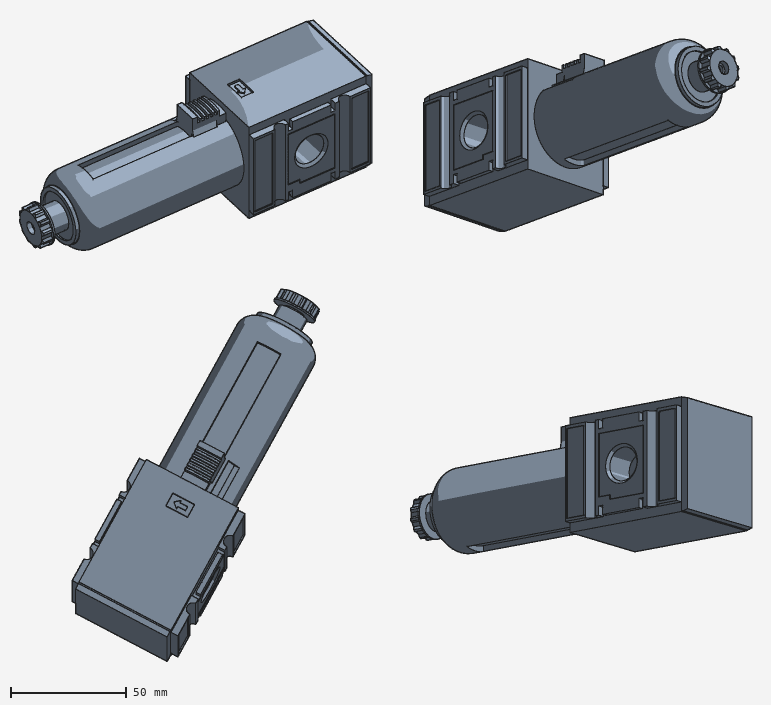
import cadquery as cq
import math


housing_half_width = 22.6
housing_length = 61.7
edge_height = 25.6
crown_height = 27.0
front_bevel_length = 6.5
rear_bevel_length = 5.7
cap_length = 3.3
total_rear = housing_length + cap_length
cap_inset = 0.2
seam_width = 0.7
seam_depth = 0.3

plate_half_width = 52.0 / 2
plate_half_height = 21.3
plate_setback = 0.2
flute_radius = 5.4 / 2
flute_positions = (14.1, 48.0)
panel_depth = 0.7
panel_corner = 0.7
panel_half_height = 20.0
panel_spans = ((0.8, 10.3), (51.8, 60.8))
port_y = 30.8
port_diameter = 15.0
port_mouth_diameter = 17.5
port_depth = 14.8
port_panel_length = 24.5
port_panel_half_height = 15.1
port_panel_depth = 0.5
port_panel_step = (6.0, 2.0)
clip_notch_height = 4.1
clip_tab_thickness = 2.3
clip_tab_length = 20.2

mark_width = 10.7
mark_length = 6.4
mark_y = 11.2
mark_floor = 25.9
arrow_length = 6.2
arrow_head_length = 2.5
arrow_half_width = 2.1
arrow_stem_half_width = 1.0
arrow_height = 0.7

bowl_radius = 37.7 / 2
bowl_round = 7.7
bowl_round_start = -75.6
bowl_end = -82.8
end_ring_radius = 27.0 / 2
end_ring_end = -84.6
end_recess_radius = 23 / 2
end_recess_depth = 0.8
stub_radius = 6.9
stub_end = -92.2
neck_radius = 9.7 / 2
window_width = 11.5
window_floor_radius = 16.4
window_end = -70.2
window_corner = 0.8
bottom_window_start = -5.1
pocket_inner_x = -8.0
pocket_floor_radius = 17.2
pocket_bottom_z = 13.3

knob_radius = 20.0 / 2
knob_flange_start = -93.2
knob_flange_end = -94.0
grip_radius = 9.7
knob_end = -99.0
knob_chamfer_length = 0.5
knob_chamfer_height = 1.3
grip_slot_count = 12
grip_slot_floor_width = 2.0
grip_slot_mouth_width = 4.3
grip_slot_floor = 8.4
knob_bore_diameter = 4.0
knob_bore_depth = 4.1
knob_counterbore_diameter = 5.9
knob_counterbore_depth = 2.5

lever_half_width = 12.0 / 2
lever_start = -0.5
lever_end = -18.0
lever_top = 27.4
lever_root_radius = 16.9
lever_stem_radius = 23.3
grip_start = -4.0
tooth_count = 5
tooth_pitch = 2.3
tooth_width = 1.1
tooth_tip_radius = 26.4
tooth_root_radius = 24.8
foot_start = -5.5
foot_half_width = 13.6 / 2
foot_top = 20.7
foot_bottom = 16.9


def box(x0, x1, y0, y1, z0, z1):
    """Box given by its limits along each axis."""
    return cq.Workplane("XY").box(x1 - x0, y1 - y0, z1 - z0, centered=False).translate((x0, y0, z0))


def disc(radius, y0, y1):
    """Cylinder about the Y axis between two Y positions."""
    return cq.Workplane("XZ", origin=(0, y1, 0)).circle(radius).extrude(y1 - y0)


def both_sides(shape):
    """The shape together with its mirror image across X = 0."""
    return shape.union(shape.mirror("YZ"))


def housing_core():
    """Block with domed top and bottom, bevelled towards the front and rear."""
    domed = (
        cq.Workplane("XZ", origin=(0, total_rear, 0))
        .moveTo(-housing_half_width, -edge_height)
        .threePointArc((0, -crown_height), (housing_half_width, -edge_height))
        .lineTo(housing_half_width, edge_height)
        .threePointArc((0, crown_height), (-housing_half_width, edge_height))
        .close()
        .extrude(total_rear)
    )
    rise = crown_height - edge_height
    rear_height = edge_height - rise * cap_length / rear_bevel_length
    upper = [
        (0, edge_height),
        (front_bevel_length, crown_height),
        (housing_length - rear_bevel_length, crown_height),
        (total_rear, rear_height),
    ]
    lower = [(y, -z) for y, z in reversed(upper)]
    bevelled = (
        cq.Workplane("YZ").polyline(upper + lower).close().extrude(housing_half_width, both=True)
    )
    core = domed.intersect(bevelled)
    for side in (1, -1):
        seam_outer = side * crown_height
        seam_inner = side * (edge_height - seam_depth)
        core = core.cut(box(
            -housing_half_width, housing_half_width,
            housing_length, housing_length + seam_width,
            min(seam_outer, seam_inner), max(seam_outer, seam_inner),
        ))
    cap_side = box(
        housing_half_width - cap_inset, housing_half_width,
        housing_length, total_rear, -crown_height, crown_height,
    )
    return core.cut(both_sides(cap_side))


def side_plate():
    """Mounting plate on the +X side with flutes, framed panels and clip notches."""
    plate = box(
        housing_half_width, plate_half_width,
        plate_setback, housing_length, -plate_half_height, plate_half_height,
    )
    for y in flute_positions:
        flute = cq.Workplane("XY").center(plate_half_width, y).circle(flute_radius)
        plate = plate.cut(flute.extrude(plate_half_height, both=True))
    panel_bottom_x = plate_half_width - panel_depth
    for y0, y1 in panel_spans:
        panel = box(
            panel_bottom_x, plate_half_width, y0, y1, -panel_half_height, panel_half_height
        ).edges("|X and >Z").fillet(panel_corner)
        plate = plate.cut(panel)
    return plate.cut(clip_notch()).cut(clip_notch().mirror("XY"))


def clip_notch():
    """Notch in the upper edge of the plate around a thin standing tab."""
    notch_bottom = plate_half_height - clip_notch_height
    notch = box(
        housing_half_width, plate_half_width,
        port_y - port_panel_length / 2, port_y + port_panel_length / 2,
        notch_bottom, plate_half_height,
    )
    tab = box(
        plate_half_width - clip_tab_thickness, plate_half_width,
        port_y - clip_tab_length / 2, port_y + clip_tab_length / 2,
        notch_bottom, plate_half_height,
    )
    return notch.cut(tab)


def port_cut():
    """Stepped shallow panel, and the blind port with its countersunk mouth, on the +X side."""
    front = port_y - port_panel_length / 2
    rear = port_y + port_panel_length / 2
    step_length, step_height = port_panel_step
    seat_x = plate_half_width - port_panel_depth
    panel = box(
        seat_x, plate_half_width, front, rear, -port_panel_half_height, port_panel_half_height
    ).cut(box(
        seat_x, plate_half_width, front, front + step_length,
        -port_panel_half_height, step_height - port_panel_half_height,
    ))
    mouth_depth = (port_mouth_diameter - port_diameter) / 2
    profile = [
        (seat_x - port_depth, 0),
        (seat_x - port_depth, port_diameter / 2),
        (seat_x - mouth_depth, port_diameter / 2),
        (seat_x, port_mouth_diameter / 2),
        (seat_x, 0),
    ]
    port = cq.Workplane("XY").polyline(profile).close().revolve(360, (0, 0, 0), (1, 0, 0))
    return panel.union(port.translate((0, port_y, 0)))


def flow_mark():
    """Rectangular pocket in the top face with a raised arrow pointing to +X."""
    pocket = box(
        -mark_width / 2, mark_width / 2, mark_y - mark_length / 2, mark_y + mark_length / 2,
        mark_floor, crown_height,
    )
    tip = arrow_length / 2
    neck = tip - arrow_head_length
    arrow = cq.Workplane("XY", origin=(0, mark_y, mark_floor)).polyline([
        (-tip, -arrow_stem_half_width),
        (neck, -arrow_stem_half_width),
        (neck, -arrow_half_width),
        (tip, 0),
        (neck, arrow_half_width),
        (neck, arrow_stem_half_width),
        (-tip, arrow_stem_half_width),
    ]).close().extrude(arrow_height)
    return pocket.cut(arrow)


def make_housing():
    """Housing with both side plates, both ports and the flow mark."""
    body = housing_core().union(both_sides(side_plate()))
    return body.cut(port_cut()).cut(port_cut().mirror("YZ")).cut(flow_mark())


def bowl_shell():
    """Turned bowl with its recessed end ring, drain stub and neck."""
    round_angle = math.asin((bowl_round_start - bowl_end) / bowl_round)

    def round_point(angle):
        """Point on the rounded shoulder at an angle from its start."""
        return (
            bowl_radius - bowl_round * (1 - math.cos(angle)),
            bowl_round_start - bowl_round * math.sin(angle),
        )

    barrel = (
        cq.Workplane("XY")
        .lineTo(bowl_radius, 0)
        .lineTo(bowl_radius, bowl_round_start)
        .threePointArc(round_point(round_angle / 2), round_point(round_angle))
        .lineTo(0, bowl_end)
        .close()
        .revolve(360, (0, 0, 0), (0, 1, 0))
    )
    ring = disc(end_ring_radius, end_ring_end, bowl_end)
    recess = disc(end_recess_radius, end_ring_end, end_ring_end + end_recess_depth)
    stub = disc(stub_radius, stub_end, bowl_end)
    neck = disc(neck_radius, knob_flange_start, stub_end)
    return barrel.union(ring).cut(recess).union(stub).union(neck)


def window(start):
    """Shallow curved window in the top of the bowl, from the given Y to the common end."""
    length = start - window_end
    outline = (
        cq.Workplane("XY", origin=(0, (start + window_end) / 2, 0))
        .rect(window_width, length)
        .extrude(bowl_radius)
        .edges("|Z and >Y")
        .fillet(window_corner)
    )
    return outline.cut(disc(window_floor_radius, window_end, start))


def key_pocket():
    """Curved pocket beside the lever, open towards the housing."""
    block = box(-bowl_radius, pocket_inner_x, lever_end, 0, pocket_bottom_z, bowl_radius)
    return block.cut(disc(pocket_floor_radius, lever_end, 0))


def drain_knob():
    """Flanged knob with grip slots and a counterbored end."""
    chamfer_start = knob_end + knob_chamfer_length
    knob = cq.Workplane("XY").polyline([
        (0, knob_flange_end),
        (grip_radius, knob_flange_end),
        (grip_radius, chamfer_start),
        (grip_radius - knob_chamfer_height, knob_end),
        (0, knob_end),
    ]).close().revolve(360, (0, 0, 0), (0, 1, 0))
    slot = cq.Workplane("XZ", origin=(0, knob_flange_end, 0)).polyline([
        (-grip_slot_floor_width / 2, grip_slot_floor),
        (grip_slot_floor_width / 2, grip_slot_floor),
        (grip_slot_mouth_width / 2, grip_radius),
        (-grip_slot_mouth_width / 2, grip_radius),
    ]).close().extrude(knob_flange_end - knob_end)
    for index in range(grip_slot_count):
        knob = knob.cut(slot.rotate((0, 0, 0), (0, 1, 0), index * 360 / grip_slot_count))
    knob = knob.union(disc(knob_radius, knob_flange_end, knob_flange_start))
    knob = knob.cut(disc(knob_bore_diameter / 2, knob_end, knob_end + knob_bore_depth))
    return knob.cut(disc(knob_counterbore_diameter / 2, knob_end, knob_end + knob_counterbore_depth))


def locking_lever():
    """Ribbed thumb lever with crowned teeth, an end post and flared feet."""
    post_start = grip_start - tooth_count * tooth_pitch
    crowned = disc(lever_stem_radius, grip_start, lever_start)
    crowned = crowned.union(disc(tooth_root_radius, post_start, grip_start))
    for index in range(tooth_count):
        tooth_start = grip_start - index * tooth_pitch
        crowned = crowned.union(disc(tooth_tip_radius, tooth_start - tooth_width, tooth_start))
    sides = box(-lever_half_width, lever_half_width, post_start, lever_start, lever_root_radius, lever_top)
    post = box(-lever_half_width, lever_half_width, lever_end, post_start, lever_root_radius, lever_top)
    feet = cq.Workplane("XZ", origin=(0, foot_start, 0)).polyline([
        (-foot_half_width, foot_bottom),
        (foot_half_width, foot_bottom),
        (lever_half_width, foot_top),
        (-lever_half_width, foot_top),
    ]).close().extrude(foot_start - lever_end)
    return crowned.intersect(sides).union(post).union(feet)


def make_bowl():
    """Bowl with its windows, key pocket, locking lever and drain knob."""
    bowl = bowl_shell().union(drain_knob())
    bowl = bowl.cut(window(lever_end))
    bowl = bowl.cut(window(bottom_window_start).mirror("XY"))
    return bowl.cut(key_pocket()).union(locking_lever())


housing = make_housing()
bowl = make_bowl()
result = cq.Compound.makeCompound([housing.val(), bowl.val()])